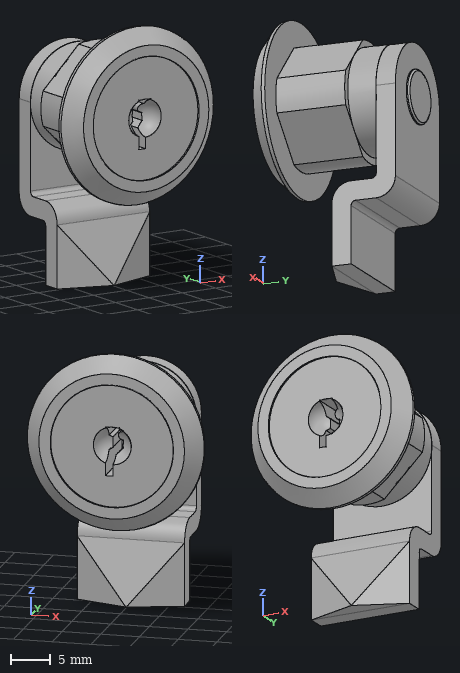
import cadquery as cq


flange_dia = 22.87
face_dia = 18.8
flange_bevel_depth = 2.02
flange_back = 2.5
recess_dia = 15.88
recess_depth = 0.27

barrel_dia = recess_dia
across_flats = 13.95
barrel_back = 11.9
neck_dia = across_flats

head_dia = 7.03
head_chamfer = 0.25
back_end = 18.8

cam_width = 13.9
cam_thickness = 2.65
cam_front = 15.75
cam_back = cam_front + cam_thickness
overall_height = 34.3
cam_bottom = flange_dia / 2 - overall_height
step_top = -12.0
step_bottom = step_top - cam_thickness
leg_back = 12.35
leg_front = leg_back - cam_thickness
outer_bend = 2.6
inner_bend = 0.62

nose_tip_y = 7.27
nose_tip_rise = 0.07

dish_rim_radius = 2.45
dish_depth = 2.25
key_half_width = 0.9
key_top = 2.4
key_bottom = -3.9
key_depth = 8.57
key_web_right = 0.07
jog_x = -0.45
jog_top = 0.6
jog_bottom = -0.75
jog_run = 0.27
ward_radius = 0.62
ward_z = 0.85


def cylinder(diameter, front, back):
    """Cylinder along the barrel axis between two Y positions."""
    plane = cq.Workplane("XZ", origin=(0, front, 0))
    return plane.circle(diameter / 2).extrude(front - back)


def flange():
    rim = flange_dia / 2
    profile = [
        (0, 0),
        (face_dia / 2, 0),
        (rim, flange_bevel_depth),
        (rim, flange_back),
        (0, flange_back),
    ]
    body = cq.Workplane("XY").polyline(profile).close().revolve(360, (0, 0, 0), (0, 1, 0))
    return body.cut(cylinder(recess_dia, 0, recess_depth))


def barrel():
    length = barrel_back - recess_depth
    square = (
        cq.Workplane("XZ", origin=(0, recess_depth, 0))
        .transformed(rotate=(0, 0, 45))
        .rect(across_flats, across_flats)
        .extrude(-length)
    )
    flatted = square.intersect(cylinder(barrel_dia, recess_depth, barrel_back))
    return flatted.union(cylinder(neck_dia, recess_depth, cam_front))


def screw_head():
    return cylinder(head_dia, cam_front, back_end).faces(">Y").chamfer(head_chamfer)


def cam():
    """Round-topped strap that steps forward to a lower leg."""
    outline = (
        cq.Workplane("YZ", origin=(-cam_width / 2, 0, 0))
        .moveTo(cam_back, 0)
        .lineTo(cam_back, step_bottom + outer_bend)
        .radiusArc((cam_back - outer_bend, step_bottom), outer_bend)
        .lineTo(leg_back + inner_bend, step_bottom)
        .radiusArc((leg_back, step_bottom - inner_bend), -inner_bend)
        .lineTo(leg_back, cam_bottom)
        .lineTo(leg_front, cam_bottom)
        .lineTo(leg_front, step_top - outer_bend)
        .radiusArc((leg_front + outer_bend, step_top), outer_bend)
        .lineTo(cam_front - inner_bend, step_top)
        .radiusArc((cam_front, step_top + inner_bend), -inner_bend)
        .lineTo(cam_front, 0)
        .close()
    )
    strap = outline.extrude(cam_width)
    return strap.union(cylinder(cam_width, cam_front, cam_back))


def nose():
    """Pyramid on the front face of the leg, its tip near the bottom edge."""
    half = cam_width / 2
    top = step_top - outer_bend
    base = [
        cq.Vector(-half, leg_front, cam_bottom),
        cq.Vector(half, leg_front, cam_bottom),
        cq.Vector(half, leg_front, top),
        cq.Vector(-half, leg_front, top),
    ]
    tip = cq.Vector(0, nose_tip_y, cam_bottom + nose_tip_rise)
    loops = [base]
    for i in range(4):
        loops.append([base[i], base[(i + 1) % 4], tip])
    faces = [cq.Face.makeFromWires(cq.Wire.makePolygon(loop, close=True)) for loop in loops]
    return cq.Workplane(cq.Solid.makeSolid(cq.Shell.makeShell(faces)))


def keyhole():
    """Spherical dish with a warded key slot through its middle."""
    dish_radius = (dish_rim_radius**2 + dish_depth**2) / (2 * dish_depth)
    dish_centre_y = recess_depth + dish_depth - dish_radius
    dish = cq.Workplane("XY").sphere(dish_radius).translate((0, dish_centre_y, 0))
    diagonal_run = key_half_width - key_web_right
    slot_outline = [
        (-key_half_width, key_top),
        (key_half_width, key_top),
        (key_half_width, jog_bottom),
        (key_web_right, jog_bottom - diagonal_run),
        (key_web_right, key_bottom),
        (-key_half_width, key_bottom),
        (-key_half_width, jog_bottom - jog_run),
        (jog_x, jog_bottom),
        (jog_x, jog_top),
        (-key_half_width, jog_top + jog_run),
    ]
    front_plane = cq.Workplane("XZ", origin=(0, recess_depth, 0))
    slot = front_plane.polyline(slot_outline).close().extrude(-key_depth)
    ward = front_plane.center(key_half_width, ward_z).circle(ward_radius).extrude(-key_depth)
    return dish.union(slot.cut(ward))


result = flange().union(barrel()).union(screw_head()).union(cam()).union(nose()).cut(keyhole())